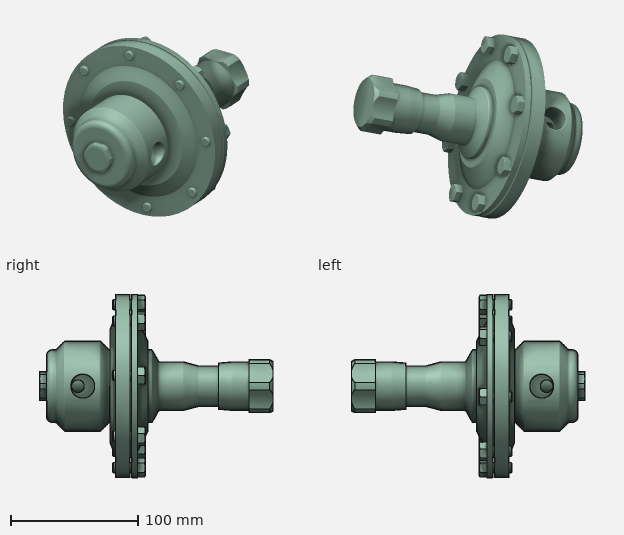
import cadquery as cq
import math


plug_flats = 22.8
plug_corner_diameter = 24.3
plug_chamfer_radius = 10.0
plug_chamfer_height = 0.5
cap_front = 5.7

neck_radius = 28.7
cap_fillet = 4.8
body_radius = 35.5
bevel_length = body_radius - neck_radius
bevel_front = 13.2
barrel_front = bevel_front + bevel_length
barrel_rear = 48.0
bevel_rear = barrel_rear + bevel_length
edge_fillet = 1.3

flange_radius = 72.0
hub_front = 55.5
hub_face_radius = 44.1
hub_foot_radius = 55.2
flange_front = 60.0
flange_rear = 71.2
gasket_radius = 56.0
plate_front = 72.6
plate_rear = 77.2
dome_foot_radius = 51.5
dome_face_radius = 35.5
dome_rear = 85.3

collar_rear = 88.6
stem_radius = 19.1
stem_front = 94.0
taper_front = 113.3
waist_radius = 16.0
waist_front = 125.0
waist_rear = 141.0
shoulder_radius = 18.2
shoulder_rear = 152.0
taper_fillet = 1.8

nut_front = 165.0
nut_rear = 183.9
nut_radius = 22.6
nut_chamfer_radius = 19.5
nut_chamfer_height = 2.8
nut_groove_count = 6
nut_groove_radius = 25.7
nut_groove_bottom = 19.3

bolt_count = 8
bolt_circle_radius = 64.5
first_bolt_angle = 7.5
shank_radius = 4.0
shank_front = 57.7
shank_chamfer = 0.7
head_flats = 13.0
head_corner_diameter = head_flats / math.cos(math.radians(30))
head_rear = 83.3
head_chamfer_radius = 6.3
head_chamfer_height = 0.5

port_y = 34.2
port_radius = 9.4
port_floor = 14.7
port_edge_fillet = 0.5
inner_port_y = 30.3
inner_port_radius = 5.0
spindle_radius = 6.5


def turned(points):
    """Solid of revolution about Y from (radius, y) points, closed along the axis."""
    outline = [(0, points[0][1])] + points + [(0, points[-1][1])]
    return cq.Workplane("ZY").polyline(outline).close().revolve(360, (0, 0, 0), (0, 1, 0))


def rod(radius, y_start, y_end):
    """Cylinder about the Y axis."""
    return turned([(radius, y_start), (radius, y_end)])


def fillet_rings(solid, stations, radius):
    """Round the circular edges lying at the given Y stations."""
    rings = solid.edges("%CIRCLE").filter(
        lambda edge: any(abs(edge.Center().y - y) < 0.002 for y in stations)
    )
    return rings.fillet(radius)


def hexagon(flats, corner_diameter, y_seat, y_face, chamfer_radius, chamfer_height):
    """Hexagon with corners towards X, cut to the corner diameter and chamfered at y_face."""
    length = y_face - y_seat
    full_diameter = flats / math.cos(math.radians(30))
    prism = cq.Workplane("XZ", origin=(0, y_seat, 0)).polygon(6, full_diameter).extrude(-length)
    y_chamfer = y_face - math.copysign(chamfer_height, length)
    corner_radius = corner_diameter / 2
    envelope = turned(
        [(corner_radius, y_seat), (corner_radius, y_chamfer), (chamfer_radius, y_face)]
    )
    return prism.intersect(envelope)


def valve_body():
    body = turned([
        (neck_radius, cap_front),
        (neck_radius, bevel_front),
        (body_radius, barrel_front),
        (body_radius, barrel_rear),
        (neck_radius, bevel_rear),
        (neck_radius, hub_front),
    ])
    body = fillet_rings(body, [cap_front], cap_fillet)
    return fillet_rings(body, [bevel_front, barrel_front, barrel_rear, bevel_rear], edge_fillet)


def flanges():
    return turned([
        (hub_face_radius, hub_front),
        (hub_foot_radius, flange_front),
        (flange_radius, flange_front),
        (flange_radius, flange_rear),
        (gasket_radius, flange_rear),
        (gasket_radius, plate_front),
        (flange_radius, plate_front),
        (flange_radius, plate_rear),
        (dome_foot_radius, plate_rear),
        (dome_face_radius, dome_rear),
    ])


def stem():
    turning = turned([
        (neck_radius, dome_rear),
        (neck_radius, collar_rear),
        (stem_radius, stem_front),
        (stem_radius, taper_front),
        (waist_radius, waist_front),
        (waist_radius, waist_rear),
        (shoulder_radius, waist_rear),
        (stem_radius, shoulder_rear),
        (stem_radius, nut_front),
    ])
    turning = fillet_rings(turning, [collar_rear, stem_front], edge_fillet)
    return fillet_rings(turning, [taper_front, waist_front], taper_fillet)


def rear_nut():
    """Round nut, chamfered at the rear, with hollow grip grooves along its side."""
    nut = turned([
        (nut_radius, nut_front),
        (nut_radius, nut_rear - nut_chamfer_height),
        (nut_chamfer_radius, nut_rear),
    ])
    groove_axis = nut_groove_bottom + nut_groove_radius
    groove = rod(nut_groove_radius, nut_front, nut_rear).translate((0, 0, groove_axis))
    for index in range(nut_groove_count):
        nut = nut.cut(groove.rotate((0, 0, 0), (0, 1, 0), index * 360 / nut_groove_count))
    return nut


def bolt():
    """Bolt along Y, head resting on the rear plate."""
    shank = rod(shank_radius, shank_front, plate_rear).faces("<Y").chamfer(shank_chamfer)
    head = hexagon(
        head_flats, head_corner_diameter, plate_rear, head_rear, head_chamfer_radius, head_chamfer_height
    )
    return shank.union(head)


def along_x(radius, y, x_start, x_end):
    """Cylinder parallel to X at the given Y."""
    return cq.Workplane("YZ", origin=(x_start, 0, 0)).center(y, 0).circle(radius).extrude(x_end - x_start)


def cut_ports(body):
    """Blind port on each side, with a smaller port from its floor to the spindle."""
    spindle = rod(spindle_radius, cap_front, hub_front)
    for side in (-1, 1):
        body = body.cut(along_x(port_radius, port_y, side * port_floor, side * flange_radius))
        body = body.cut(along_x(inner_port_radius, inner_port_y, 0, side * port_floor).cut(spindle))
    rims = body.edges("%BSPLINE").filter(
        lambda edge: barrel_front < edge.Center().y < barrel_rear and abs(edge.Center().x) > port_floor
    )
    return rims.fillet(port_edge_fillet)


plug = hexagon(plug_flats, plug_corner_diameter, cap_front, 0, plug_chamfer_radius, plug_chamfer_height)

result = cut_ports(valve_body()).union(flanges()).union(stem()).union(plug).union(rear_nut())

first_angle = math.radians(first_bolt_angle)
first_bolt = bolt().translate(
    (bolt_circle_radius * math.cos(first_angle), 0, bolt_circle_radius * math.sin(first_angle))
)
for index in range(bolt_count):
    result = result.union(first_bolt.rotate((0, 0, 0), (0, 1, 0), index * 360 / bolt_count))